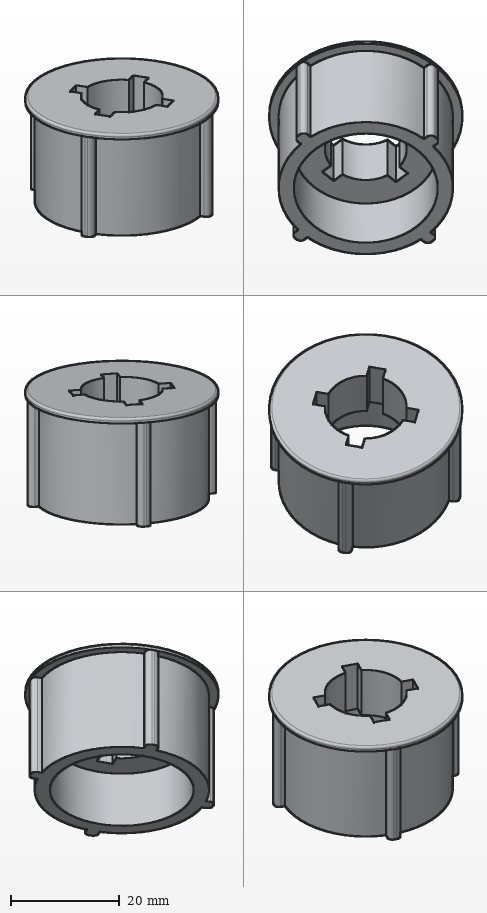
import cadquery as cq

flange_diameter = 35.5
flange_thickness = 1.0
flange_edge_radius = 0.5
body_diameter = 32.02
body_height = 20.02
total_height = body_height + flange_thickness

rib_width = 2.5
rib_edge_radius = 1.0

bore_diameter = 15.0
keyway_width = 3.0
keyway_span = 19.17
plate_thickness = 10.0

cavity_diameter = 26.4
cavity_depth = total_height - plate_thickness


def make_flange():
    disc = cq.Workplane("XY").workplane(offset=body_height).circle(flange_diameter / 2)
    return disc.extrude(flange_thickness).faces(">Z").edges().fillet(flange_edge_radius)


def make_ribs():
    """Two crossed bars whose rounded ends form the four ribs."""
    bar = cq.Workplane("XY").box(flange_diameter, rib_width, body_height, centered=(True, True, False))
    bar = bar.edges("|Z").fillet(rib_edge_radius)
    return bar.union(bar.rotate((0, 0, 0), (0, 0, 1), 90))


def make_keyed_bore():
    bore = cq.Workplane("XY").circle(bore_diameter / 2).extrude(total_height)
    for length, width in ((keyway_span, keyway_width), (keyway_width, keyway_span)):
        bore = bore.union(cq.Workplane("XY").rect(length, width).extrude(total_height))
    return bore


body = cq.Workplane("XY").circle(body_diameter / 2).extrude(body_height)
cavity = cq.Workplane("XY").circle(cavity_diameter / 2).extrude(cavity_depth)

result = body.union(make_ribs()).union(make_flange()).cut(make_keyed_bore()).cut(cavity)